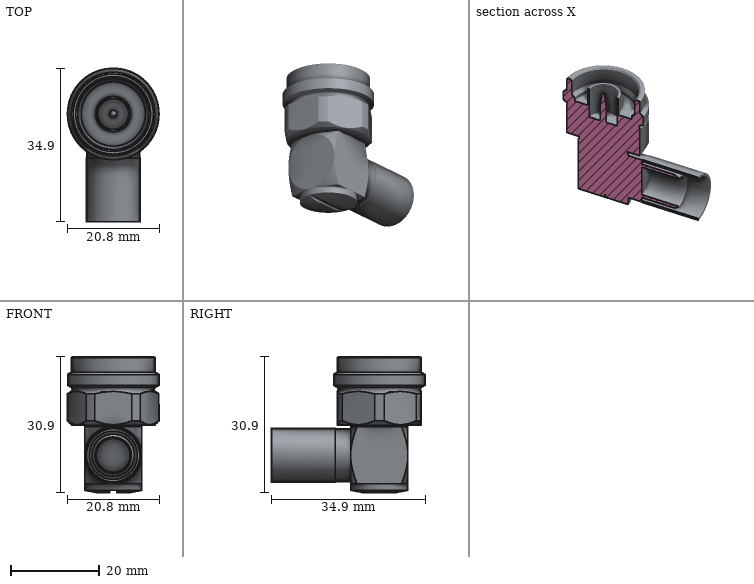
import cadquery as cq
import math


ARC_MIDDLE = math.sqrt(0.5)

BODY_SIZE = 13.0
BODY_HALF = BODY_SIZE / 2
BODY_TURN_ANGLE = 28.0

CAP_RIM_HEIGHT = 1.46
CAP_DOME_HEIGHT = 0.5
CAP_FLAT_RADIUS = 3.9
SLOT_WIDTH = 1.5

NECK_RADIUS = 6.2
NUT_BOTTOM_Z = 6.85
TOP_Z = 22.4
HEX_FLATS = 19.0
HEX_APOTHEM = HEX_FLATS / 2
HEX_TURN = 30.0
RING_RADIUS = 10.4
NUT_BOTTOM_CHAMFER = 1.0
HEX_TOP_ANGLE = 31.0
GROOVE_FILLET = 0.6
GROOVE_Z = 14.9
GROOVE_RADIUS = 9.35
RING_UNDERCUT_Z = 15.4
RING_BOTTOM_Z = 15.9
RING_TOP_Z = 18.3
SLEEVE_RADIUS = HEX_APOTHEM
SLEEVE_BOTTOM_Z = 18.9
LIP_CHAMFER_WIDTH = 0.4
LIP_CHAMFER_HEIGHT = 0.25

SOCKET_RADIUS = 8.1
SOCKET_MOUTH_CHAMFER = 0.4
SEAT_RADIUS = 7.3
SEAT_TOP_DEPTH = 4.2
SEAT_BOTTOM_DEPTH = 4.9
SOCKET_DEPTH = 5.8

BARREL_RADIUS = 4.0
BARREL_BORE_RADIUS = 3.5
BARREL_TIP_DEPTH = 1.1
BARREL_EDGE_CHAMFER = 0.1
BARREL_BORE_DEPTH = 9.0
PIN_TIP_DEPTH = 1.2
PIN_TIP_RADIUS = 0.4
PIN_RADIUS = 0.85
PIN_TAPER_LENGTH = 3.2

COLLAR_RADIUS = 6.0
COLLAR_END = 10.0
CRIMP_RADIUS = 6.12
CRIMP_BORE_RADIUS = 5.5
CRIMP_END = 24.5
POST_RADIUS = 4.8
POST_TIP_RADIUS = 4.15
POST_MOUTH_RADIUS = 3.92
POST_BORE_RADIUS = 3.82
POST_MOUTH_LENGTH = 0.2
POST_CONE_START = 18.4
POST_END = 19.4


def cylinder_z(radius, bottom, top):
    return cq.Workplane("XY").workplane(offset=bottom).circle(radius).extrude(top - bottom)


def cylinder_cable(radius, start, end):
    """Cylinder on the cable axis between two distances along -Y."""
    return cq.Workplane("XZ").workplane(offset=start).circle(radius).extrude(end - start)


def revolve_z(profile):
    """Revolve a closed (radius, z) profile about Z."""
    return profile.close().revolve(360, (0, 0, 0), (0, 1, 0))


def make_body():
    """Cube whose two Y faces are turned conically down to a round face."""
    block = cq.Workplane("XY").box(BODY_SIZE, BODY_SIZE, BODY_SIZE)
    corner_radius = BODY_SIZE
    cone_drop = (corner_radius - BODY_HALF) * math.tan(math.radians(BODY_TURN_ANGLE))
    outline = [
        (0, BODY_HALF),
        (BODY_HALF, BODY_HALF),
        (corner_radius, BODY_HALF - cone_drop),
        (corner_radius, -BODY_HALF + cone_drop),
        (BODY_HALF, -BODY_HALF),
        (0, -BODY_HALF),
    ]
    turned = cq.Workplane("XY").polyline(outline).close().revolve(360, (0, 0, 0), (0, 1, 0))
    return block.intersect(turned)


def make_cap():
    """Round cap with a shallow conical end and a screwdriver slot along Y."""
    rim_z = -BODY_HALF - CAP_RIM_HEIGHT
    end_z = rim_z - CAP_DOME_HEIGHT
    cap = revolve_z(
        cq.Workplane("XZ")
        .moveTo(0, -BODY_HALF)
        .lineTo(BODY_HALF, -BODY_HALF)
        .lineTo(BODY_HALF, rim_z)
        .lineTo(CAP_FLAT_RADIUS, end_z)
        .lineTo(0, end_z)
    )
    slot = cq.Workplane("XY").box(SLOT_WIDTH, BODY_SIZE, CAP_DOME_HEIGHT)
    return cap.cut(slot.translate((0, 0, rim_z - CAP_DOME_HEIGHT / 2)))


def fillet_point(slope):
    """(radius, z) on the groove fillet where its tangent has the given slope."""
    radius = GROOVE_RADIUS + GROOVE_FILLET * (1 - math.sin(slope))
    return radius, GROOVE_Z - GROOVE_FILLET * math.cos(slope)


def make_nut():
    """Hex nut with chamfered corners, a groove, a collar ring and a plain sleeve."""
    slope = math.radians(HEX_TOP_ANGLE)
    blend_end = fillet_point(slope)
    blend_middle = fillet_point((slope + math.pi / 2) / 2)
    corner_z = blend_end[1] - (RING_RADIUS - blend_end[0]) * math.tan(slope)
    groove_side_middle = (
        GROOVE_RADIUS + (SLEEVE_RADIUS - GROOVE_RADIUS) * (1 - ARC_MIDDLE),
        GROOVE_Z + (RING_UNDERCUT_Z - GROOVE_Z) * ARC_MIDDLE,
    )
    turned = revolve_z(
        cq.Workplane("XZ")
        .moveTo(0, NUT_BOTTOM_Z)
        .lineTo(RING_RADIUS - NUT_BOTTOM_CHAMFER, NUT_BOTTOM_Z)
        .lineTo(RING_RADIUS, NUT_BOTTOM_Z + NUT_BOTTOM_CHAMFER)
        .lineTo(RING_RADIUS, corner_z)
        .lineTo(*blend_end)
        .threePointArc(blend_middle, (GROOVE_RADIUS, GROOVE_Z))
        .threePointArc(groove_side_middle, (SLEEVE_RADIUS, RING_UNDERCUT_Z))
        .lineTo(RING_RADIUS, RING_BOTTOM_Z)
        .lineTo(RING_RADIUS, RING_TOP_Z)
        .lineTo(SLEEVE_RADIUS, SLEEVE_BOTTOM_Z)
        .lineTo(SLEEVE_RADIUS, TOP_Z - LIP_CHAMFER_HEIGHT)
        .lineTo(SLEEVE_RADIUS - LIP_CHAMFER_WIDTH, TOP_Z)
        .lineTo(0, TOP_Z)
    )
    hex_height = GROOVE_Z - NUT_BOTTOM_Z
    hexagon = (
        cq.Workplane("XY")
        .workplane(offset=NUT_BOTTOM_Z)
        .polygon(6, HEX_FLATS, circumscribed=True)
        .extrude(hex_height)
        .rotate((0, 0, 0), (0, 0, 1), HEX_TURN)
    )
    upper = cylinder_z(RING_RADIUS, GROOVE_Z, TOP_Z)
    return turned.intersect(hexagon.union(upper))


def make_socket():
    """Space inside the nut: chamfered mouth, bore, conical seat and flat floor."""
    return revolve_z(
        cq.Workplane("XZ")
        .moveTo(0, TOP_Z)
        .lineTo(SOCKET_RADIUS + SOCKET_MOUTH_CHAMFER, TOP_Z)
        .lineTo(SOCKET_RADIUS, TOP_Z - SOCKET_MOUTH_CHAMFER)
        .lineTo(SOCKET_RADIUS, TOP_Z - SEAT_TOP_DEPTH)
        .lineTo(SEAT_RADIUS, TOP_Z - SEAT_BOTTOM_DEPTH)
        .lineTo(SEAT_RADIUS, TOP_Z - SOCKET_DEPTH)
        .lineTo(0, TOP_Z - SOCKET_DEPTH)
    )


def make_barrel():
    """Solid contact barrel with a chamfered tip; its bore is cut afterwards."""
    barrel = cylinder_z(BARREL_RADIUS, TOP_Z - BARREL_BORE_DEPTH, TOP_Z - BARREL_TIP_DEPTH)
    return barrel.faces(">Z").edges().chamfer(BARREL_EDGE_CHAMFER)


def make_pin():
    """Centre pin tapering from the barrel floor up to a ball tip."""
    ball_z = TOP_Z - PIN_TIP_DEPTH - PIN_TIP_RADIUS
    ball_side = PIN_TIP_RADIUS * ARC_MIDDLE
    floor_z = TOP_Z - BARREL_BORE_DEPTH
    return revolve_z(
        cq.Workplane("XZ")
        .moveTo(0, floor_z)
        .lineTo(PIN_RADIUS, floor_z)
        .lineTo(PIN_RADIUS, ball_z - PIN_TAPER_LENGTH)
        .lineTo(PIN_TIP_RADIUS, ball_z)
        .threePointArc((ball_side, ball_z + ball_side), (0, ball_z + PIN_TIP_RADIUS))
    )


def make_cable_entry():
    """Collar on the body carrying the crimp sleeve and the tapered hollow post."""
    collar = cylinder_cable(COLLAR_RADIUS, 0, COLLAR_END)
    crimp = cylinder_cable(CRIMP_RADIUS, COLLAR_END, CRIMP_END)
    crimp = crimp.cut(cylinder_cable(CRIMP_BORE_RADIUS, COLLAR_END, CRIMP_END))
    post = (
        cq.Workplane("XY")
        .moveTo(POST_BORE_RADIUS, -COLLAR_END)
        .lineTo(POST_RADIUS, -COLLAR_END)
        .lineTo(POST_RADIUS, -POST_CONE_START)
        .lineTo(POST_TIP_RADIUS, -POST_END)
        .lineTo(POST_MOUTH_RADIUS, -POST_END)
        .lineTo(POST_BORE_RADIUS, -POST_END + POST_MOUTH_LENGTH)
        .close()
        .revolve(360, (0, 0, 0), (0, 1, 0))
    )
    return collar.union(crimp).union(post)


neck = cylinder_z(NECK_RADIUS, 0, NUT_BOTTOM_Z)
barrel_bore = cylinder_z(BARREL_BORE_RADIUS, TOP_Z - BARREL_BORE_DEPTH, TOP_Z)

result = (
    make_nut()
    .cut(make_socket())
    .union(make_barrel())
    .cut(barrel_bore)
    .union(make_pin())
    .union(neck)
    .union(make_body())
    .union(make_cap())
    .union(make_cable_entry())
)